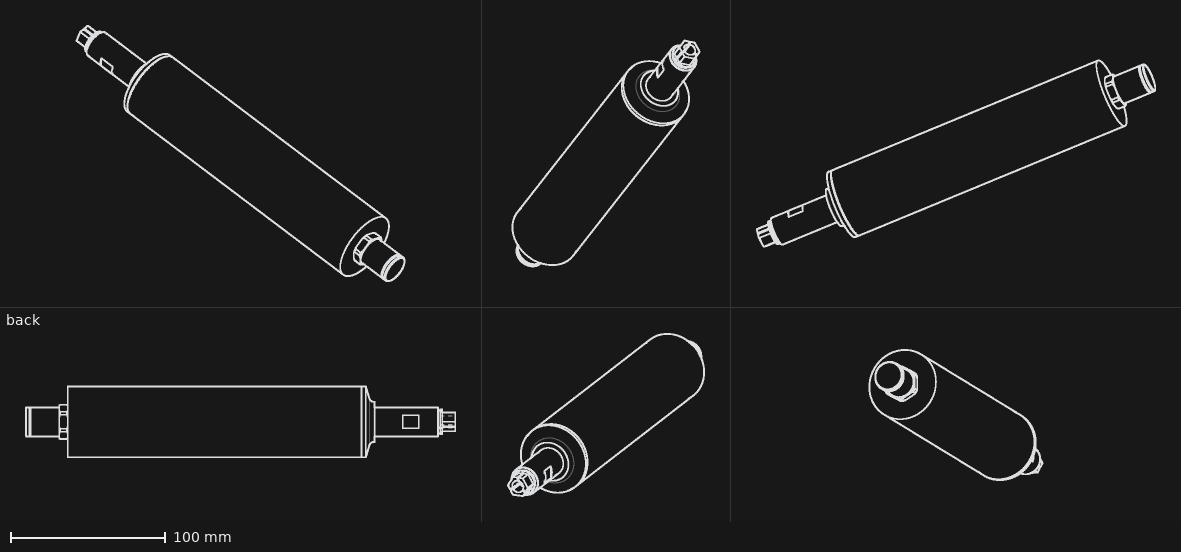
import cadquery as cq
import math

overall_length = 278.0
collar_start = 8.5
collar_end = 9.7
shaft_start = 11.0
hub_start = 52.3
hub_flare_start = 52.8
cone_start = 55.5
body_start = 57.8
joint_groove_start = 60.5
joint_groove_end = 61.0
body_end = 250.8
nut_end = 256.5
ring_groove_start = 274.7
ring_groove_end = 275.5

collar_diameter = 16.0
neck_diameter = 15.0
shaft_diameter = 19.0
hub_diameter = 26.0
cone_small_diameter = 30.5
joint_groove_diameter = 43.7
body_diameter = 46.0
ring_groove_diameter = 18.4

shaft_chamfer = 0.3
end_chamfer = 0.5

hexagon_sides = 6

nose_across_flats = 12.2
bore_diameter = 7.8
bore_depth = shaft_start
slit_width = 0.8
slit_count = 3

flat_start = 23.5
flat_end = 34.0
flat_spacing = 17.0

nut_across_flats = 20.3
nut_corner_diameter = 22.2
nut_chamfer = 0.5
nut_turn = 30

axis_origin = (0, 0, 0)
axis_direction = (1, 0, 0)


def turned_body():
    """Revolve the stepped half profile about the X axis."""
    shaft_radius = shaft_diameter / 2
    groove_radius = ring_groove_diameter / 2
    profile = (
        cq.Workplane("XY")
        .moveTo(collar_start, 0)
        .lineTo(collar_start, collar_diameter / 2)
        .lineTo(collar_end, collar_diameter / 2)
        .lineTo(collar_end, neck_diameter / 2)
        .lineTo(shaft_start, neck_diameter / 2)
        .lineTo(shaft_start, shaft_radius - shaft_chamfer)
        .lineTo(shaft_start + shaft_chamfer, shaft_radius)
        .lineTo(hub_start, shaft_radius)
        .lineTo(hub_start, hub_diameter / 2)
        .lineTo(hub_flare_start, hub_diameter / 2)
        .tangentArcPoint((cone_start, cone_small_diameter / 2), relative=False)
        .lineTo(body_start, body_diameter / 2)
        .lineTo(joint_groove_start, body_diameter / 2)
        .lineTo(joint_groove_start, joint_groove_diameter / 2)
        .lineTo(joint_groove_end, joint_groove_diameter / 2)
        .lineTo(joint_groove_end, body_diameter / 2)
        .lineTo(body_end, body_diameter / 2)
        .lineTo(body_end, shaft_radius)
        .lineTo(ring_groove_start, shaft_radius)
        .lineTo(ring_groove_start, groove_radius)
        .lineTo(ring_groove_end, groove_radius)
        .lineTo(ring_groove_end, shaft_radius)
        .lineTo(overall_length - end_chamfer, shaft_radius)
        .lineTo(overall_length, shaft_radius - end_chamfer)
        .lineTo(overall_length, 0)
        .close()
    )
    return profile.revolve(360, axis_origin, axis_direction)


def hexagon(start, end, across_flats, turn):
    """Hexagonal bar along X; with no turn its corners lie on +Y and -Y."""
    corner_diameter = across_flats / math.cos(math.pi / hexagon_sides)
    bar = cq.Workplane("YZ", origin=(start, 0, 0)).polygon(hexagon_sides, corner_diameter).extrude(end - start)
    return bar.rotate(axis_origin, axis_direction, turn)


def nut():
    """Hexagon with corners up and down, its corners turned and chamfered."""
    envelope = (
        cq.Workplane("YZ", origin=(body_end, 0, 0))
        .circle(nut_corner_diameter / 2)
        .extrude(nut_end - body_end)
        .faces("<X or >X")
        .chamfer(nut_chamfer)
    )
    return hexagon(body_end, nut_end, nut_across_flats, nut_turn).intersect(envelope)


def spanner_flat(side):
    """Cutter for one flat on the +Y (side = 1) or -Y (side = -1) of the shaft."""
    depth = shaft_diameter / 2
    cutter = cq.Workplane("XY").box(flat_end - flat_start, depth, shaft_diameter)
    middle = (flat_start + flat_end) / 2
    return cutter.translate((middle, side * (flat_spacing + depth) / 2, 0))


def nose_slit(angle):
    """Radial slit through the nose and collar, pointing up before it is turned."""
    slit = cq.Workplane("XY").box(
        shaft_start, slit_width, shaft_diameter / 2, centered=(False, True, False)
    )
    return slit.rotate(axis_origin, axis_direction, angle)


result = turned_body()
result = result.union(hexagon(0, collar_start, nose_across_flats, 0))
result = result.union(nut())
for side in (-1, 1):
    result = result.cut(spanner_flat(side))
for index in range(slit_count):
    result = result.cut(nose_slit(index * 360 / slit_count))
result = result.cut(cq.Workplane("YZ").circle(bore_diameter / 2).extrude(bore_depth))